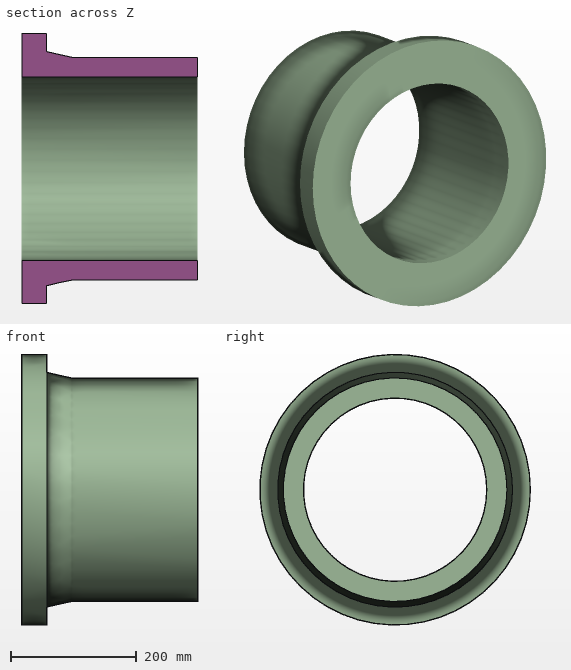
import cadquery as cq

total_length = 280.0
flange_thickness = 40.0
taper_length = 40.0

flange_diameter = 430.0
taper_diameter = 373.0
pipe_diameter = 355.0
bore_diameter = 290.6

flange_radius = flange_diameter / 2
taper_radius = taper_diameter / 2
pipe_radius = pipe_diameter / 2
bore_radius = bore_diameter / 2
taper_end = flange_thickness + taper_length


def stub_end():
    """Flanged pipe stub: half section above the axis, revolved about X."""
    half_section = (
        cq.Workplane("XY")
        .moveTo(0, bore_radius)
        .lineTo(0, flange_radius)
        .lineTo(flange_thickness, flange_radius)
        .lineTo(flange_thickness, taper_radius)
        .lineTo(taper_end, pipe_radius)
        .lineTo(total_length, pipe_radius)
        .lineTo(total_length, bore_radius)
        .close()
    )
    return half_section.revolve(360, (0, 0, 0), (1, 0, 0))


result = stub_end()